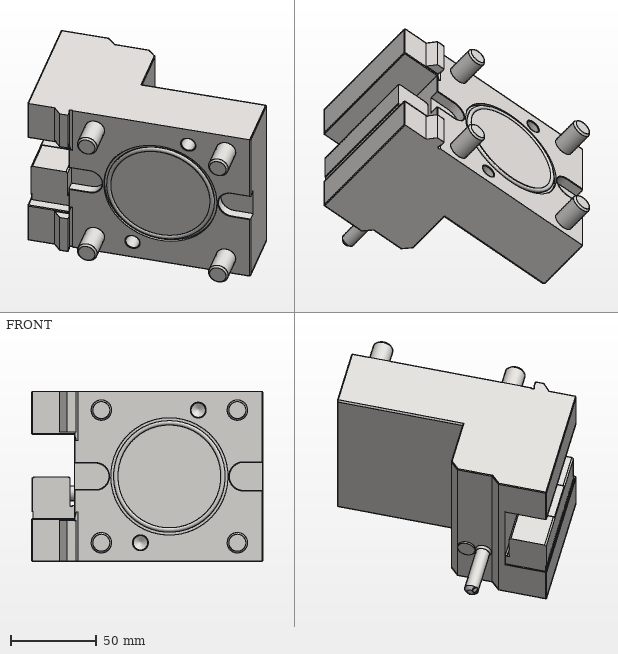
import cadquery as cq
import math

LENGTH = 136.0
HEIGHT = 100.0
DEPTH = 75.0
SHELF_DEPTH = 36.4
TALL_LENGTH = 60.0
STEP_DEPTH = 70.0
REAR_STRIP = 29.0
BEVEL = 5.0
EDGE = 0.5
SHELF_EDGE = 1.0
MID_Z = HEIGHT / 2

SLOT_DEPTH = 25.1
SLOT_WIDTH = 49.5
SLOT_BOTTOM = MID_Z - SLOT_WIDTH / 2

RIDGE_START = 16.5
RIDGE_END = 26.0
RIDGE_HEIGHT = 5.0
RIDGE_SLOPE = 4.4
RIDGE_WIDTH = 24.0
RELIEF_RADIUS = 1.0
RELIEF_X = 26.5
RELIEF_Y = -0.5
RELIEF_LENGTH = 29.0
RELIEF_RUNOUT = 2.8
RELIEF_RUNOUT_WIDTH = 0.8

PIN_DIAMETER = 12.0
PIN_LENGTH = 18.0
PIN_CHAMFER_LENGTH = 1.3
PIN_CHAMFER_WIDTH = 1.0
PIN_XS = (41.0, 121.0)
PIN_EDGE_DISTANCE = 11.0
PIN_ZS = (PIN_EDGE_DISTANCE, HEIGHT - PIN_EDGE_DISTANCE)

SEAL_X = 81.0
BORE_OFFSET = 17.0
BORE_DIAMETER = 8.5
BORE_MOUTH_DIAMETER = 9.3
BORE_DEPTH = 20.0
DRILL_POINT_ANGLE = 118.0

POCKET_DEPTH = 6.0
POCKET_EDGE = 0.3
LEFT_POCKET_WIDTH = 15.6
LEFT_POCKET_END = 45.5
RIGHT_POCKET_WIDTH = 16.6
RIGHT_POCKET_END = 116.3

SEAL_CORD_RADIUS = 1.33
SEAL_PROUD = 0.9
SEAL_RING_RADIUS = 31.5
SEAL_GROOVE_INNER = 30.25
SEAL_GROOVE_OUTER = 34.5
SEAL_GROOVE_DEPTH = 1.6

BOSS_X = 49.4
BOSS_DIAMETER = 10.5
BOSS_HEIGHT = 1.2

PLUG_START_X = 0.3
PLUG_END_X = 22.7
PLUG_TOP = 49.7
PLUG_FRONT = 6.1
PLUG_BACK = 74.2
PLUG_CORNER = 1.0
PLUG_MIDDLE_FRONT = 28.0
PLUG_MIDDLE_BACK = 52.1
PLUG_MIDDLE_CORNER = 0.4
PLUG_MIDDLE_DROP = 0.3
PLUG_UNDERCUT = 0.5
PLUG_UNDERCUT_TOP = 29.3
PLUG_FOOT_TOP = 33.0
PLUG_FOOT_NOTCH = 0.5
PLUG_FOOT_NOTCH_X = 24.0
PLUG_PIN_DIAMETER = 8.8
PLUG_PIN_Z = 40.0

CABLE_X = 39.3
CABLE_Z = 28.3
CABLE_DIAMETER = 8.2
CABLE_END_Y = 102.34
CABLE_TIP_LENGTH = 1.9
CABLE_TIP_RADIUS = 2.1
CABLE_COLLAR_RADIUS = 4.8
CABLE_COLLAR_LENGTH = 1.8
TIP_HOLE_DIAMETER = 3.4
TIP_HOLE_DEPTH = 1.0
TIP_HOLE_ANGLE = 155.0

OVERLAP = 1.0


def box(x0, x1, y0, y1, z0, z1):
    return cq.Workplane("XY").box(x1 - x0, y1 - y0, z1 - z0, centered=False).translate((x0, y0, z0))


def cylinder_along_y(x, z, radius, y_start, length):
    return cq.Workplane(cq.Solid.makeCylinder(radius, length, cq.Vector(x, y_start, z), cq.Vector(0, 1, 0)))


def cone_along_y(x, z, start_radius, end_radius, y_start, length):
    base = cq.Vector(x, y_start, z)
    return cq.Workplane(cq.Solid.makeCone(start_radius, end_radius, length, base, cq.Vector(0, 1, 0)))


def make_body():
    body = (
        cq.Workplane("XY")
        .polyline([
            (0, 0),
            (LENGTH, 0),
            (LENGTH, SHELF_DEPTH),
            (TALL_LENGTH, SHELF_DEPTH),
            (TALL_LENGTH, STEP_DEPTH - BEVEL),
            (TALL_LENGTH - BEVEL, STEP_DEPTH),
            (REAR_STRIP + BEVEL, STEP_DEPTH),
            (REAR_STRIP, DEPTH),
            (0, DEPTH),
        ])
        .close()
        .extrude(HEIGHT)
    )
    shelf_edges = cq.selectors.BoxSelector(
        (TALL_LENGTH, SHELF_DEPTH - EDGE, -EDGE),
        (LENGTH, SHELF_DEPTH + EDGE, HEIGHT + EDGE),
    )
    body = body.edges("|X").edges(shelf_edges).chamfer(SHELF_EDGE)
    slot_top = SLOT_BOTTOM + SLOT_WIDTH
    body = body.cut(box(-OVERLAP, SLOT_DEPTH, -OVERLAP, DEPTH + OVERLAP, SLOT_BOTTOM, slot_top))
    left_end = cq.selectors.BoxSelector(
        (-EDGE, -EDGE, -EDGE),
        (EDGE, DEPTH + EDGE, HEIGHT + EDGE),
    )
    right_end = cq.selectors.BoxSelector(
        (LENGTH - EDGE, -EDGE, -EDGE),
        (LENGTH + EDGE, SHELF_DEPTH + EDGE, HEIGHT + EDGE),
    )
    slot_mouth = cq.selectors.BoxSelector(
        (-EDGE, -EDGE, SLOT_BOTTOM - EDGE),
        (SLOT_DEPTH + EDGE, EDGE, slot_top + EDGE),
    )
    body = body.edges(left_end + right_end + slot_mouth).chamfer(EDGE)
    rear_outline = cq.selectors.BoxSelector(
        (0, SHELF_DEPTH + OVERLAP, -EDGE),
        (TALL_LENGTH + EDGE, DEPTH + EDGE, HEIGHT + EDGE),
    )
    body = body.faces(">Z or <Z").edges(rear_outline).edges("not <X").chamfer(EDGE)
    return body


def make_ridge(z_start):
    return (
        cq.Workplane("XY")
        .polyline([
            (RIDGE_START, 0),
            (RIDGE_START + RIDGE_SLOPE, -RIDGE_HEIGHT),
            (RIDGE_END, -RIDGE_HEIGHT),
            (RIDGE_END, OVERLAP),
            (RIDGE_START, OVERLAP),
        ])
        .close()
        .extrude(RIDGE_WIDTH)
        .translate((0, 0, z_start))
    )


def make_lower_relief():
    groove = cq.Workplane("XY").center(RELIEF_X, RELIEF_Y).circle(RELIEF_RADIUS).extrude(RELIEF_LENGTH)
    left = RELIEF_X - RELIEF_RADIUS
    runout = (
        cq.Workplane("XZ")
        .polyline([
            (left, RELIEF_LENGTH - RELIEF_RUNOUT),
            (left + RELIEF_RUNOUT_WIDTH, RELIEF_LENGTH),
            (left, RELIEF_LENGTH),
        ])
        .close()
        .extrude(2 * RELIEF_RADIUS, both=True)
    )
    return groove.cut(runout)


def add_hooks(part):
    part = part.union(make_ridge(0)).union(make_ridge(HEIGHT - RIDGE_WIDTH))
    relief = make_lower_relief()
    return part.cut(relief).cut(relief.mirror("XY", (0, 0, MID_Z)))


def make_pin(x, z):
    radius = PIN_DIAMETER / 2
    shank_start = PIN_CHAMFER_LENGTH - PIN_LENGTH
    shank = cylinder_along_y(x, z, radius, shank_start, OVERLAP - shank_start)
    tip = cone_along_y(x, z, radius - PIN_CHAMFER_WIDTH, radius, -PIN_LENGTH, PIN_CHAMFER_LENGTH)
    return shank.union(tip)


def make_bore(x, z):
    radius = BORE_DIAMETER / 2
    mouth = BORE_MOUTH_DIAMETER / 2
    point_length = radius / math.tan(math.radians(DRILL_POINT_ANGLE / 2))
    bore = cylinder_along_y(x, z, radius, 0, BORE_DEPTH)
    bore = bore.union(cone_along_y(x, z, radius, 0, BORE_DEPTH, point_length))
    return bore.union(cone_along_y(x, z, mouth, radius, 0, mouth - radius))


def make_pocket(open_x, end_x, width):
    """Round-ended pocket from the side at open_x, with a small bevel around its mouth."""
    direction = math.copysign(1, end_x - open_x)

    def layer(grow, depth, taper):
        radius = width / 2 + grow
        arc_x = end_x - direction * width / 2
        return (
            cq.Workplane("XZ")
            .moveTo(open_x, MID_Z - radius)
            .lineTo(arc_x, MID_Z - radius)
            .threePointArc((arc_x + direction * radius, MID_Z), (arc_x, MID_Z + radius))
            .lineTo(open_x, MID_Z + radius)
            .close()
            .extrude(-depth, taper=taper)
        )

    return layer(0, POCKET_DEPTH, 0).union(layer(POCKET_EDGE, POCKET_EDGE, 45))


def add_front_seal(part):
    groove = cylinder_along_y(SEAL_X, MID_Z, SEAL_GROOVE_OUTER, 0, SEAL_GROOVE_DEPTH)
    groove = groove.cut(cylinder_along_y(SEAL_X, MID_Z, SEAL_GROOVE_INNER, 0, SEAL_GROOVE_DEPTH))
    centre = cq.Vector(SEAL_X, SEAL_CORD_RADIUS - SEAL_PROUD, MID_Z)
    ring = cq.Solid.makeTorus(SEAL_RING_RADIUS, SEAL_CORD_RADIUS, centre, cq.Vector(0, 1, 0))
    return part.cut(groove).union(cq.Workplane(ring))


def make_plug():
    outline = [
        (PLUG_START_X + PLUG_UNDERCUT, SLOT_BOTTOM - OVERLAP),
        (SLOT_DEPTH + OVERLAP, SLOT_BOTTOM - OVERLAP),
        (SLOT_DEPTH + OVERLAP, PLUG_FOOT_TOP),
        (PLUG_FOOT_NOTCH_X, PLUG_FOOT_TOP),
        (PLUG_FOOT_NOTCH_X, PLUG_FOOT_TOP - PLUG_FOOT_NOTCH),
        (PLUG_END_X, PLUG_FOOT_TOP - PLUG_FOOT_NOTCH),
        (PLUG_END_X, PLUG_TOP),
        (PLUG_START_X, PLUG_TOP),
        (PLUG_START_X, PLUG_UNDERCUT_TOP),
        (PLUG_START_X + PLUG_UNDERCUT, PLUG_UNDERCUT_TOP),
    ]

    def section(y_front, y_back, drop, corner):
        block = cq.Workplane("XZ").polyline(outline).close().extrude(y_front - y_back)
        block = block.translate((0, y_front, 0))
        if drop > 0:
            block = block.cut(box(0, SLOT_DEPTH, y_front, y_back, PLUG_TOP - drop, PLUG_TOP))
        return block.faces(">Z").edges("|Y").chamfer(corner)

    front = section(PLUG_FRONT, PLUG_MIDDLE_FRONT, 0, PLUG_CORNER)
    middle = section(PLUG_MIDDLE_FRONT, PLUG_MIDDLE_BACK, PLUG_MIDDLE_DROP, PLUG_MIDDLE_CORNER)
    back = section(PLUG_MIDDLE_BACK, PLUG_BACK, 0, PLUG_CORNER)
    pin_y = (PLUG_FRONT + PLUG_BACK) / 2
    pin = cq.Solid.makeCylinder(
        PLUG_PIN_DIAMETER / 2,
        SLOT_DEPTH - PLUG_END_X + 2 * OVERLAP,
        cq.Vector(PLUG_END_X - OVERLAP, pin_y, PLUG_PIN_Z),
        cq.Vector(1, 0, 0),
    )
    return front.union(middle).union(back).union(cq.Workplane(pin))


def make_tip_hole():
    angle = math.radians(TIP_HOLE_ANGLE)
    mean_radius = (CABLE_DIAMETER / 2 + CABLE_TIP_RADIUS) / 2
    mouth = cq.Vector(
        CABLE_X + mean_radius * math.cos(angle),
        CABLE_END_Y - CABLE_TIP_LENGTH / 2,
        CABLE_Z + mean_radius * math.sin(angle),
    )
    inward = cq.Vector(-math.cos(angle), -1, -math.sin(angle)).normalized()
    start = mouth - inward * OVERLAP
    return cq.Workplane(cq.Solid.makeCylinder(TIP_HOLE_DIAMETER / 2, OVERLAP + TIP_HOLE_DEPTH, start, inward))


def make_cable():
    radius = CABLE_DIAMETER / 2
    tip_start = CABLE_END_Y - CABLE_TIP_LENGTH
    root_y = STEP_DEPTH - OVERLAP
    cable = cylinder_along_y(CABLE_X, CABLE_Z, radius, root_y, tip_start - root_y)
    collar = cone_along_y(CABLE_X, CABLE_Z, CABLE_COLLAR_RADIUS, radius, STEP_DEPTH, CABLE_COLLAR_LENGTH)
    tip = cone_along_y(CABLE_X, CABLE_Z, radius, CABLE_TIP_RADIUS, tip_start, CABLE_TIP_LENGTH)
    return cable.union(collar).union(tip).cut(make_tip_hole())


def make_boss():
    return cylinder_along_y(BOSS_X, CABLE_Z, BOSS_DIAMETER / 2, STEP_DEPTH - OVERLAP, OVERLAP + BOSS_HEIGHT)


part = add_hooks(make_body())
part = part.cut(make_pocket(0, LEFT_POCKET_END, LEFT_POCKET_WIDTH))
part = part.cut(make_pocket(LENGTH, RIGHT_POCKET_END, RIGHT_POCKET_WIDTH))
for bore_x, bore_z in zip((SEAL_X - BORE_OFFSET, SEAL_X + BORE_OFFSET), PIN_ZS):
    part = part.cut(make_bore(bore_x, bore_z))
part = add_front_seal(part)
for pin_x in PIN_XS:
    for pin_z in PIN_ZS:
        part = part.union(make_pin(pin_x, pin_z))
part = part.union(make_plug())
part = part.union(make_cable())
part = part.union(make_boss())

result = part